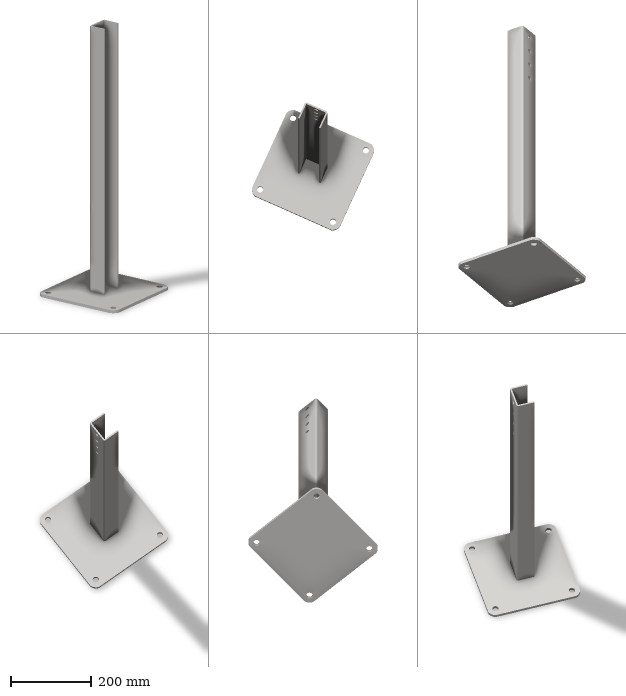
import cadquery as cq

total_height = 708.0

plate_side = 240.0
plate_thickness = 8.0
plate_corner_setback = 15.0
plate_corner_radius = 25.0
plate_hole_spacing = 200.0
plate_hole_diameter = 15.5

channel_width = 61.5
channel_depth = 45.0
channel_wall = 4.0
channel_bend_radius = 5.0
channel_back_x = -23.0
channel_height = total_height - plate_thickness

back_hole_count = 4
back_hole_diameter = 12.0
back_hole_row_length = 120.5
back_hole_pitch = back_hole_row_length / (back_hole_count - 1)
back_hole_top_offset = 20.0


def plate_outline():
    """Square whose corners are cut by shallow arcs that meet the sides at a slight angle."""
    half = plate_side / 2
    near = half - plate_corner_setback
    return (
        cq.Workplane("XY")
        .moveTo(near, -half)
        .radiusArc((half, -near), -plate_corner_radius)
        .lineTo(half, near)
        .radiusArc((near, half), -plate_corner_radius)
        .lineTo(-near, half)
        .radiusArc((-half, near), -plate_corner_radius)
        .lineTo(-half, -near)
        .radiusArc((-near, -half), -plate_corner_radius)
        .close()
    )


def make_base_plate():
    """Plate with a through hole near each corner."""
    return (
        plate_outline()
        .extrude(plate_thickness)
        .faces(">Z")
        .workplane(origin=(0, 0, 0))
        .rect(plate_hole_spacing, plate_hole_spacing, forConstruction=True)
        .vertices()
        .hole(plate_hole_diameter)
    )


def channel_block(wall_offset):
    """Block with its two back edges rounded, set in from the outer face by wall_offset."""
    return (
        cq.Workplane("XY", origin=(channel_back_x + wall_offset, 0, plate_thickness))
        .box(
            channel_depth - wall_offset,
            channel_width - 2 * wall_offset,
            channel_height,
            centered=(False, True, False),
        )
        .edges("|Z and <X")
        .fillet(channel_bend_radius - wall_offset)
    )


def make_back_holes():
    """Cutters for the hole row, running along X through the back wall only."""
    top_hole_z = total_height - back_hole_top_offset
    centers = [(0, top_hole_z - i * back_hole_pitch) for i in range(back_hole_count)]
    return (
        cq.Workplane("YZ", origin=(channel_back_x, 0, 0))
        .pushPoints(centers)
        .circle(back_hole_diameter / 2)
        .extrude(channel_wall)
    )


def make_channel():
    """Bent channel standing on the plate."""
    return channel_block(0).cut(channel_block(channel_wall)).cut(make_back_holes())


base_plate = make_base_plate()
channel = make_channel()

result = cq.Compound.makeCompound([base_plate.val(), channel.val()])